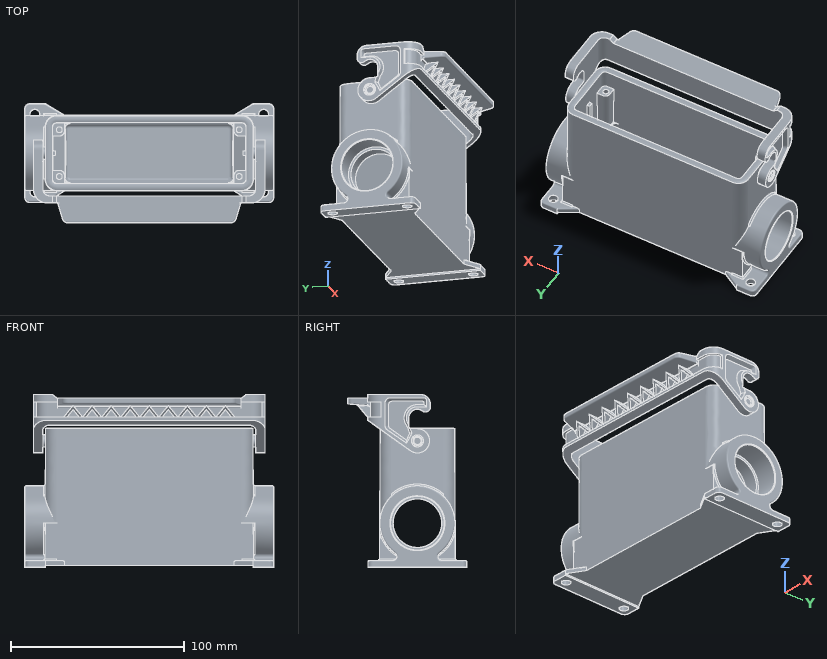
import cadquery as cq
import math

BEVEL_ANGLE = 45
TOLERANCE = 0.01

BODY_HALF_X = 60.4
BODY_HALF_Y = 22.0
BODY_BOTTOM_Z = 1.0
BODY_TOP_Z = 80.6
RIM_HEIGHT = 5.1
CORNER_RADIUS = 7.0
DRAFT_ANGLE = 0.3
RIM_CROWN = 0.45

RIM_WALL = 4.0
CAVITY_CORNER_RADIUS = 2.6
CAVITY_FLOOR_Z = 4.0
CAVITY_FLOOR_ROUND = 2.0
CAVITY_DRAFT = 1.0
THROAT_HALF_X = 48.75
THROAT_CORNER_RADIUS = 3.0
THROAT_TOP_Z = 41.5
SLOPE_TOP_Z = 46.5

POST_X = 52.0
POST_Y = 13.5
POST_TOP_Z = 68.5
POST_INNER_X = 49.0
POST_INNER_Y = 9.9
POST_ROUND = 3.0
POST_HOLE_RADIUS = 1.7
POST_HOLE_DEPTH = 12.0

RIB_ROOT_WIDTH = 3.6
RIB_TIP_WIDTH = 2.4
RIB_TIP_X = 54.2

END_X = 72.0
ENTRY_Z = 25.5
ENTRY_RADIUS = 21.7
ENTRY_FLARE = 1.1
END_EDGE_ROUND = 1.0
ENTRY_BORE_RADIUS = 15.5
ENTRY_BORE_DEPTH = 14.5
ENTRY_BORE_CHAMFER = 0.4
ENTRY_HOLE_RADIUS = 14.0
NECK_RADIUS = 2.2
NECK_MIDDLE_ANGLE = 200

FOOT_HALF_Y = 28.6
FOOT_THICKNESS = 4.0
FOOT_CORNER_RADIUS = 3.0
FOOT_BEND_X = 60.0
FOOT_TIP_X = 49.0
FOOT_FILLET = 0.8
FOOT_FILLET_START_X = 53.5
FOOT_HOLE_X = 66.1
FOOT_HOLE_Y = 22.5
FOOT_HOLE_RADIUS = 2.75

LEVER_HALF_X = 67.0
LEVER_ARM = 5.5
LEVER_TOP_Z = 100.0
LEVER_FRONT_Y = -28.8
LEVER_BAR = 4.1
LEVER_BEND_RADIUS = 8.0
LEVER_INNER_RADIUS = 4.0
LEVER_FRONT_LOW_Z = 85.0
PIVOT_Z = 73.1
PIVOT_EYE_RADIUS = 7.0
PIVOT_PIN_RADIUS = 3.6
PIVOT_HEAD_RADIUS = 3.5
PIVOT_HEAD_DEPTH = 0.4
PIVOT_DIMPLE_RADIUS = 2.7
PIVOT_DIMPLE_DEPTH = 0.6
HOOK_Z = 86.4
HOOK_RADIUS = 4.9
HOOK_ARC_MIDDLE = 130
HOOK_ARC_END = 70
HOOK_MOUTH_ROUND = 1.5
HOOK_TIP_Y = 7.5
HOOK_TIP_RADIUS = 2.9
HOOK_TIP_Z = 92.6
HOOK_TIP_ARC_START = 250
HOOK_TIP_ARC_MIDDLE = 310
HOOK_TOP_RADIUS = 5.8

POCKET_HOOK_RADIUS = 6.4
POCKET_WALL_WIDTH = 2.0
POCKET_HOOK_WALL_WIDTH = 1.3
POCKET_DEPTH = 2.5
POCKET_CORNER_RADIUS = 3.0
POCKET_TIP_ROUND = 1.5
POCKET_TOP_Z = 98.0
POCKET_FRONT_Y = -18.7
POCKET_FRONT_LOW_Z = 80.3
POCKET_LOW = (-6.3, 71.8)
POCKET_HEEL = (-3.2, 77.5)
POCKET_TIP_Y = 5.2
POCKET_ARC_START = 220
POCKET_ARC_MIDDLE = 150
POCKET_ARC_END = 80
POCKET_LOW_RISE = 1.7

BAND_DEPTH = 1.8
BAND_LOW_Z = 86.8
BAND_HIGH_Z = 95.7
BAND_END_Y = -21.0

GRIP_TOP_Z = 98.0
GRIP_ROOT_LOW_Z = 93.0
GRIP_ROOT_FILLET = 1.0
GRIP_TIP_LOW_Z = 94.4
OVERALL_DEPTH_Y = 68.96
GRIP_TIP_Y = FOOT_HALF_Y - OVERALL_DEPTH_Y
GRIP_ROOT_HALF_X = 53.0
GRIP_TIP_HALF_X = 49.5
GRIP_CORNER_RADIUS = 3.5
GRIP_EDGE_ROUND = 0.8
EAR_TOP_HALF_X = 56.0
EAR_LOW_HALF_X = 53.5

ZIGZAG_PEAKS = 9
ZIGZAG_PITCH = 11.0
ZIGZAG_WIDTH = 1.5
ZIGZAG_REACH_Y = -34.5
ZIGZAG_PEAK_Z = GRIP_ROOT_LOW_Z + GRIP_ROOT_FILLET / 2


def box(x0, x1, y0, y1, z0, z1):
    """Axis-aligned box between the given limits."""
    return cq.Workplane("XY").box(x1 - x0, y1 - y0, z1 - z0, centered=False).translate((x0, y0, z0))


def cylinder_x(x0, x1, y, z, radius):
    """Cylinder along X between x0 and x1."""
    return cq.Workplane("YZ", origin=(x0, 0, 0)).center(y, z).circle(radius).extrude(x1 - x0)


def both_ends(shape):
    """The shape together with its mirror image at the other X end."""
    return shape.union(shape.mirror("YZ"))


def rounded_rectangle(half_x, half_y, z, radius):
    """Sketch of a rounded rectangle centred on the Z axis, placed at height z."""
    sketch = cq.Sketch().rect(2 * half_x, 2 * half_y).vertices().fillet(radius)
    return cq.Workplane("XY", origin=(0, 0, z)).placeSketch(sketch)


def arc_point(center, radius, degrees):
    """Point on a circle, measured from the first axis of the plane."""
    angle = math.radians(degrees)
    return (center[0] + radius * math.cos(angle), center[1] + radius * math.sin(angle))


draft_height = BODY_TOP_Z - RIM_HEIGHT - BODY_BOTTOM_Z
draft_inset = draft_height * math.tan(math.radians(DRAFT_ANGLE))
rim_half_x = BODY_HALF_X - draft_inset
rim_half_y = BODY_HALF_Y - draft_inset
rim_z = BODY_TOP_Z - RIM_HEIGHT


def rim_crown():
    """Low convex crown running along the top of the rim."""
    edge_z = BODY_TOP_Z - RIM_CROWN
    middle_y = rim_half_y - RIM_WALL / 2
    path = rounded_rectangle(
        rim_half_x - RIM_WALL / 2, middle_y, edge_z, CORNER_RADIUS - draft_inset - RIM_WALL / 2
    )
    path = cq.Workplane("XY").newObject([path.extrude(RIM_CROWN).faces("<Z").wires().val()])
    section = (
        cq.Workplane("YZ")
        .moveTo(-rim_half_y, edge_z)
        .threePointArc((-middle_y, BODY_TOP_Z), (RIM_WALL - rim_half_y, edge_z))
        .close()
    )
    return section.sweep(path)


def housing_shell():
    """Drafted outer block with a straight rim and a square-cornered lower part."""
    block = rounded_rectangle(BODY_HALF_X, BODY_HALF_Y, BODY_BOTTOM_Z, CORNER_RADIUS)
    block = block.extrude(draft_height, taper=DRAFT_ANGLE)
    rim = rounded_rectangle(rim_half_x, rim_half_y, rim_z, CORNER_RADIUS - draft_inset)
    rim = rim.extrude(RIM_HEIGHT - RIM_CROWN).union(rim_crown())
    base = cq.Workplane("XY", origin=(0, 0, BODY_BOTTOM_Z)).rect(2 * BODY_HALF_X, 2 * BODY_HALF_Y)
    base = base.extrude(ENTRY_Z - BODY_BOTTOM_Z, taper=DRAFT_ANGLE)
    return block.union(rim).union(base)


def cavity():
    """Inner space: straight mouth, drafted middle, sloping end walls and a narrower throat."""
    half_x = rim_half_x - RIM_WALL
    half_y = rim_half_y - RIM_WALL
    mouth = rounded_rectangle(half_x, half_y, rim_z, CAVITY_CORNER_RADIUS).extrude(RIM_HEIGHT)
    drafted = rounded_rectangle(half_x, half_y, rim_z, CAVITY_CORNER_RADIUS)
    drafted = drafted.extrude(THROAT_TOP_Z - rim_z, taper=CAVITY_DRAFT)
    funnel = (
        cq.Workplane("XZ")
        .moveTo(-half_x, rim_z)
        .lineTo(half_x, rim_z)
        .lineTo(half_x, SLOPE_TOP_Z)
        .lineTo(THROAT_HALF_X, THROAT_TOP_Z)
        .lineTo(-THROAT_HALF_X, THROAT_TOP_Z)
        .lineTo(-half_x, SLOPE_TOP_Z)
        .close()
        .extrude(BODY_HALF_Y, both=True)
    )
    throat_half_y = half_y - (rim_z - THROAT_TOP_Z) * math.tan(math.radians(CAVITY_DRAFT))
    throat = rounded_rectangle(THROAT_HALF_X, throat_half_y, THROAT_TOP_Z, THROAT_CORNER_RADIUS)
    throat = throat.extrude(CAVITY_FLOOR_Z - THROAT_TOP_Z, taper=CAVITY_DRAFT)
    throat = throat.faces("<Z").edges().fillet(CAVITY_FLOOR_ROUND)
    return mouth.union(drafted.intersect(funnel)).union(throat)


def end_wall_rib():
    """Tapered upright rib in the middle of the +X end wall."""
    outer_x = rim_half_x - RIM_WALL / 2
    return (
        cq.Workplane("XY", origin=(0, 0, THROAT_TOP_Z))
        .moveTo(outer_x, -RIB_ROOT_WIDTH / 2)
        .lineTo(outer_x, RIB_ROOT_WIDTH / 2)
        .lineTo(RIB_TIP_X, RIB_TIP_WIDTH / 2)
        .lineTo(RIB_TIP_X, -RIB_TIP_WIDTH / 2)
        .close()
        .extrude(POST_TOP_Z - THROAT_TOP_Z)
    )


def screw_posts():
    """Four corner posts with blind screw holes, reaching into the outer walls."""
    outer_x = rim_half_x - RIM_WALL / 2
    outer_y = rim_half_y - RIM_WALL / 2
    post = box(POST_INNER_X, outer_x, POST_INNER_Y, outer_y, CAVITY_FLOOR_Z, POST_TOP_Z)
    post = post.edges("|Z and <X and <Y").fillet(POST_ROUND)
    hole = cq.Workplane("XY", origin=(POST_X, POST_Y, POST_TOP_Z))
    post = post.cut(hole.circle(POST_HOLE_RADIUS).extrude(-POST_HOLE_DEPTH))
    pair = post.union(post.mirror("XZ"))
    return both_ends(pair)


def foot_outline():
    """Plan of the foot plate at the +X end, both sides in one outline."""
    return (
        cq.Workplane("XY")
        .moveTo(FOOT_BEND_X, -FOOT_HALF_Y)
        .lineTo(END_X, -FOOT_HALF_Y)
        .lineTo(END_X, FOOT_HALF_Y)
        .lineTo(FOOT_BEND_X, FOOT_HALF_Y)
        .lineTo(FOOT_TIP_X, BODY_HALF_Y)
        .lineTo(FOOT_TIP_X, -BODY_HALF_Y)
        .close()
    )


def foot_fillet():
    """Sloping strip where the foot meets the sides and end of the body."""
    strip = cq.Workplane("XY", origin=(0, 0, FOOT_THICKNESS))
    strip = strip.rect(2 * (BODY_HALF_X + FOOT_FILLET), 2 * (BODY_HALF_Y + FOOT_FILLET))
    strip = strip.extrude(FOOT_FILLET, taper=BEVEL_ANGLE)
    start_y = BODY_HALF_Y + FOOT_FILLET
    return strip.intersect(box(FOOT_FILLET_START_X, END_X, -start_y, start_y, 0, ENTRY_Z))


def cable_end():
    """Cable entry boss standing on its foot plate at the +X end."""
    plate = foot_outline().extrude(FOOT_THICKNESS)
    plate = plate.edges("|Z and >X").fillet(FOOT_CORNER_RADIUS)
    plate = plate.cut(box(0, FOOT_BEND_X, -FOOT_HALF_Y, FOOT_HALF_Y, 0, BODY_BOTTOM_Z))

    neck_z = FOOT_THICKNESS + NECK_RADIUS
    neck_y = math.sqrt((ENTRY_RADIUS + NECK_RADIUS) ** 2 - (ENTRY_Z - neck_z) ** 2)
    reach = ENTRY_RADIUS / (ENTRY_RADIUS + NECK_RADIUS)
    touch_y = neck_y * reach
    touch_z = ENTRY_Z - (ENTRY_Z - neck_z) * reach
    boss_start_x = BODY_HALF_X - CORNER_RADIUS
    boss_length = END_X - boss_start_x
    boss = cylinder_x(boss_start_x, END_X, 0, ENTRY_Z, ENTRY_RADIUS)
    foundation = FOOT_THICKNESS / 2
    neck_middle = arc_point((neck_y, neck_z), NECK_RADIUS, NECK_MIDDLE_ANGLE)
    neck = (
        cq.Workplane("YZ", origin=(boss_start_x, 0, 0))
        .moveTo(-neck_y, foundation)
        .lineTo(neck_y, foundation)
        .lineTo(neck_y, FOOT_THICKNESS)
        .threePointArc(neck_middle, (touch_y, touch_z))
        .lineTo(-touch_y, touch_z)
        .threePointArc((-neck_middle[0], neck_middle[1]), (-neck_y, FOOT_THICKNESS))
        .close()
        .extrude(boss_length)
    )
    end = plate.union(boss).union(neck)
    plate_top = cq.selectors.BoxSelector(
        (FOOT_TIP_X + TOLERANCE, -FOOT_HALF_Y - TOLERANCE, FOOT_THICKNESS - TOLERANCE),
        (END_X - TOLERANCE, FOOT_HALF_Y + TOLERANCE, FOOT_THICKNESS + TOLERANCE),
    )
    outer_edges = end.faces(">X").edges("not |Z").edges("not <Z")
    rounded = outer_edges.add(end.edges(plate_top).edges("not |Y")).fillet(END_EDGE_ROUND)
    flare = cq.Workplane("YZ", origin=(rim_half_x, 0, 0)).center(0, ENTRY_Z)
    flare = flare.circle(ENTRY_RADIUS + ENTRY_FLARE).extrude(ENTRY_FLARE, taper=BEVEL_ANGLE)
    flat_half_y = BODY_HALF_Y - CORNER_RADIUS
    lower_wall = box(0, END_X, -BODY_HALF_Y, BODY_HALF_Y, FOOT_THICKNESS, ENTRY_Z)
    upper_wall = box(0, END_X, -flat_half_y, flat_half_y, ENTRY_Z, BODY_TOP_Z)
    rounded = rounded.union(flare.intersect(lower_wall.union(upper_wall))).union(foot_fillet())
    for side in (-1, 1):
        hole = cq.Workplane("XY").center(FOOT_HOLE_X, side * FOOT_HOLE_Y)
        rounded = rounded.cut(hole.circle(FOOT_HOLE_RADIUS).extrude(FOOT_THICKNESS))
    return rounded


def entry_bore():
    """Stepped cable bore at the +X end, chamfered at its mouth."""
    step_x = END_X - ENTRY_BORE_DEPTH
    bore = cylinder_x(step_x, END_X, 0, ENTRY_Z, ENTRY_BORE_RADIUS)
    hole = cylinder_x(0, END_X, 0, ENTRY_Z, ENTRY_HOLE_RADIUS)
    mouth = cq.Workplane("YZ", origin=(END_X, 0, 0)).center(0, ENTRY_Z)
    mouth = mouth.circle(ENTRY_BORE_RADIUS + ENTRY_BORE_CHAMFER)
    mouth = mouth.extrude(-ENTRY_BORE_CHAMFER, taper=BEVEL_ANGLE)
    return bore.union(hole).union(mouth)


def lever_profile():
    """Side outline of the lever: pivot eye, hook and sloping underside."""
    eye = (0, PIVOT_Z)
    corner_y = LEVER_FRONT_Y
    corner_z = LEVER_FRONT_LOW_Z
    distance = math.hypot(corner_y, corner_z - PIVOT_Z)
    direction = math.degrees(math.atan2(corner_z - PIVOT_Z, corner_y))
    tangent_angle = direction + math.degrees(math.acos(PIVOT_EYE_RADIUS / distance))
    tangent = arc_point(eye, PIVOT_EYE_RADIUS, tangent_angle)
    eye_top = PIVOT_Z + PIVOT_EYE_RADIUS
    mouth = HOOK_MOUTH_ROUND
    hook = (0, HOOK_Z)
    tip_center = (HOOK_TIP_Y - HOOK_TIP_RADIUS, HOOK_TIP_Z)
    top_center = (HOOK_TIP_Y - HOOK_TOP_RADIUS, LEVER_TOP_Z - HOOK_TOP_RADIUS)
    return (
        cq.Workplane("YZ", origin=(-LEVER_HALF_X, 0, 0))
        .moveTo(corner_y, corner_z)
        .lineTo(*tangent)
        .threePointArc((PIVOT_EYE_RADIUS, PIVOT_Z), (0, eye_top))
        .lineTo(mouth - HOOK_RADIUS, eye_top)
        .threePointArc(
            arc_point((mouth - HOOK_RADIUS, eye_top + mouth), mouth, 225), (-HOOK_RADIUS, eye_top + mouth)
        )
        .lineTo(-HOOK_RADIUS, HOOK_Z)
        .threePointArc(
            arc_point(hook, HOOK_RADIUS, HOOK_ARC_MIDDLE), arc_point(hook, HOOK_RADIUS, HOOK_ARC_END)
        )
        .lineTo(*arc_point(tip_center, HOOK_TIP_RADIUS, HOOK_TIP_ARC_START))
        .threePointArc(
            arc_point(tip_center, HOOK_TIP_RADIUS, HOOK_TIP_ARC_MIDDLE), (HOOK_TIP_Y, HOOK_TIP_Z)
        )
        .lineTo(HOOK_TIP_Y, top_center[1])
        .threePointArc(arc_point(top_center, HOOK_TOP_RADIUS, 45), (top_center[0], LEVER_TOP_Z))
        .lineTo(corner_y, LEVER_TOP_Z)
        .close()
        .extrude(2 * LEVER_HALF_X)
    )


def lever_plan(inset, z0, z1):
    """Block with the lever's plan outline, set in all round, rounded at the front corners."""
    half_x = LEVER_HALF_X - inset
    block = box(-half_x, half_x, LEVER_FRONT_Y + inset, BODY_HALF_Y, z0, z1)
    return block.edges("|Z and <Y").fillet(LEVER_BEND_RADIUS - inset)


def corner_band():
    """Material removed to leave the recessed band around the lever's front."""
    band = box(-LEVER_HALF_X, LEVER_HALF_X, LEVER_FRONT_Y, BAND_END_Y, BAND_LOW_Z, BAND_HIGH_Z)
    return band.cut(lever_plan(BAND_DEPTH, BAND_LOW_Z, BAND_HIGH_Z))


def arm_pocket():
    """Sloped-wall pocket in the outer face of the -X lever arm."""
    hook = (0, HOOK_Z)

    def outline(x, inset, hook_inset, low_rise):
        top = POCKET_TOP_Z - inset
        front = POCKET_FRONT_Y + inset
        radius = POCKET_HOOK_RADIUS + hook_inset
        tip_y = POCKET_TIP_Y - hook_inset
        wire = (
            cq.Workplane("YZ", origin=(x, 0, 0))
            .moveTo(front, top)
            .lineTo(front, POCKET_FRONT_LOW_Z + hook_inset / 2)
            .lineTo(POCKET_LOW[0], POCKET_LOW[1] + low_rise)
            .lineTo(POCKET_HEEL[0] - hook_inset, POCKET_HEEL[1])
            .lineTo(*arc_point(hook, radius, POCKET_ARC_START))
            .threePointArc(
                arc_point(hook, radius, POCKET_ARC_MIDDLE), arc_point(hook, radius, POCKET_ARC_END)
            )
            .lineTo(tip_y, HOOK_Z + radius)
            .lineTo(tip_y, top)
            .close()
            .wires()
            .val()
        )
        front_corners = [vertex for vertex in wire.Vertices() if vertex.Y < front + TOLERANCE]
        wire = wire.fillet2D(POCKET_CORNER_RADIUS - inset / 2, front_corners)
        tip_vertices = [vertex for vertex in wire.Vertices() if vertex.Y > tip_y - TOLERANCE]
        tip_corners = [vertex for vertex in tip_vertices if vertex.Z > top - TOLERANCE]
        return wire.fillet2D(POCKET_TIP_ROUND - inset / 4, tip_corners)

    face = outline(-LEVER_HALF_X, 0, 0, 0)
    floor_x = POCKET_DEPTH - LEVER_HALF_X
    floor = outline(floor_x, POCKET_WALL_WIDTH, POCKET_HOOK_WALL_WIDTH, POCKET_LOW_RISE)
    return cq.Workplane("XY").newObject([cq.Solid.makeLoft([face, floor], True)])


def grip_plate():
    """Tapering grip plate in front of the lever bar."""
    root_y = LEVER_FRONT_Y + LEVER_BAR
    side = (
        cq.Workplane("YZ", origin=(-LEVER_HALF_X, 0, 0))
        .moveTo(root_y, GRIP_TOP_Z)
        .lineTo(GRIP_TIP_Y, GRIP_TOP_Z)
        .lineTo(GRIP_TIP_Y, GRIP_TIP_LOW_Z)
        .lineTo(root_y, GRIP_ROOT_LOW_Z)
        .close()
        .extrude(2 * LEVER_HALF_X)
    )
    plan = (
        cq.Workplane("XY", origin=(0, 0, GRIP_ROOT_LOW_Z))
        .moveTo(-GRIP_ROOT_HALF_X, root_y)
        .lineTo(GRIP_ROOT_HALF_X, root_y)
        .lineTo(GRIP_ROOT_HALF_X, LEVER_FRONT_Y)
        .lineTo(GRIP_TIP_HALF_X, GRIP_TIP_Y)
        .lineTo(-GRIP_TIP_HALF_X, GRIP_TIP_Y)
        .lineTo(-GRIP_ROOT_HALF_X, LEVER_FRONT_Y)
        .close()
        .extrude(GRIP_TOP_Z - GRIP_ROOT_LOW_Z)
        .edges("|Z and <Y").fillet(GRIP_CORNER_RADIUS)
    )
    return plan.intersect(side).faces("<Y").edges("|X").fillet(GRIP_EDGE_ROUND)


def grip_root_fillet():
    """Concave fillet between the underside of the grip plate and the recessed front of the bar."""
    bar_y = LEVER_FRONT_Y + BAND_DEPTH
    top_z = GRIP_ROOT_LOW_Z + GRIP_ROOT_FILLET / 2
    center = (bar_y - GRIP_ROOT_FILLET, GRIP_ROOT_LOW_Z - GRIP_ROOT_FILLET)
    return (
        cq.Workplane("YZ", origin=(-GRIP_ROOT_HALF_X, 0, 0))
        .moveTo(center[0], GRIP_ROOT_LOW_Z)
        .threePointArc(arc_point(center, GRIP_ROOT_FILLET, 45), (bar_y, center[1]))
        .lineTo(bar_y + BAND_DEPTH, center[1])
        .lineTo(bar_y + BAND_DEPTH, top_z)
        .lineTo(center[0], top_z)
        .close()
        .extrude(2 * GRIP_ROOT_HALF_X)
    )


def zigzag_ribs():
    """Zigzag rib between the lever bar and the grip plate, cut to a sloping front."""
    back_y = LEVER_FRONT_Y + BAND_DEPTH
    half_pitch = ZIGZAG_PITCH / 2
    start_x = -ZIGZAG_PEAKS * half_pitch
    rise = ZIGZAG_PEAK_Z - BAND_LOW_Z
    thickness = ZIGZAG_WIDTH * math.hypot(half_pitch, rise) / half_pitch
    upper = []
    for index in range(2 * ZIGZAG_PEAKS + 1):
        upper.append((start_x + index * half_pitch, BAND_LOW_Z + rise * (index % 2)))
    lower = [(x, z - thickness) for x, z in reversed(upper)]
    ribbon = cq.Workplane("XZ", origin=(0, back_y, 0)).polyline(upper + lower).close()
    ribbon = ribbon.extrude(back_y - GRIP_TIP_Y)
    wedge = (
        cq.Workplane("YZ", origin=(start_x, 0, 0))
        .moveTo(back_y, BAND_LOW_Z)
        .lineTo(LEVER_FRONT_Y, BAND_LOW_Z)
        .lineTo(ZIGZAG_REACH_Y, ZIGZAG_PEAK_Z)
        .lineTo(back_y, ZIGZAG_PEAK_Z)
        .close()
        .extrude(-2 * start_x)
    )
    return ribbon.intersect(wedge)


def ear_gap():
    """Opening above the grip plate, with sloping ends beside the two ears."""
    return (
        cq.Workplane("XZ", origin=(0, BODY_HALF_Y, 0))
        .moveTo(-EAR_TOP_HALF_X, LEVER_TOP_Z)
        .lineTo(EAR_TOP_HALF_X, LEVER_TOP_Z)
        .lineTo(EAR_LOW_HALF_X, GRIP_TOP_Z)
        .lineTo(-EAR_LOW_HALF_X, GRIP_TOP_Z)
        .close()
        .extrude(BODY_HALF_Y - LEVER_FRONT_Y)
    )


def pivot_recess():
    """Stepped recess with a conical dimple in the outer end of the +X pivot pin."""
    head_x = LEVER_HALF_X - PIVOT_HEAD_DEPTH
    head = cylinder_x(head_x, LEVER_HALF_X, 0, PIVOT_Z, PIVOT_HEAD_RADIUS)
    dimple = cq.Workplane("YZ", origin=(head_x, 0, 0)).center(0, PIVOT_Z).circle(PIVOT_DIMPLE_RADIUS)
    return head.union(dimple.extrude(-PIVOT_DIMPLE_DEPTH, taper=BEVEL_ANGLE))


def lever():
    """Locking lever with hooked arms, front bar and grip, on its pivot pins."""
    bottom_z = PIVOT_Z - PIVOT_EYE_RADIUS
    inner_half_x = LEVER_HALF_X - LEVER_ARM
    inside = box(
        -inner_half_x, inner_half_x, LEVER_FRONT_Y + LEVER_BAR, BODY_HALF_Y, bottom_z, LEVER_TOP_Z
    )
    inside = inside.edges("|Z and <Y").fillet(LEVER_INNER_RADIUS)
    frame = lever_plan(0, bottom_z, LEVER_TOP_Z).cut(inside)
    shape = lever_profile().intersect(frame).cut(ear_gap()).cut(corner_band())
    shape = shape.cut(both_ends(arm_pocket()))
    shape = shape.union(grip_plate()).union(grip_root_fillet()).union(zigzag_ribs())
    pin = cylinder_x(rim_half_x - RIM_WALL / 2, LEVER_HALF_X, 0, PIVOT_Z, PIVOT_PIN_RADIUS)
    shape = shape.union(both_ends(pin))
    return shape.cut(both_ends(pivot_recess()))


housing = housing_shell().union(both_ends(cable_end())).cut(cavity())
housing = housing.union(screw_posts()).union(both_ends(end_wall_rib())).cut(both_ends(entry_bore()))
result = housing.union(lever())